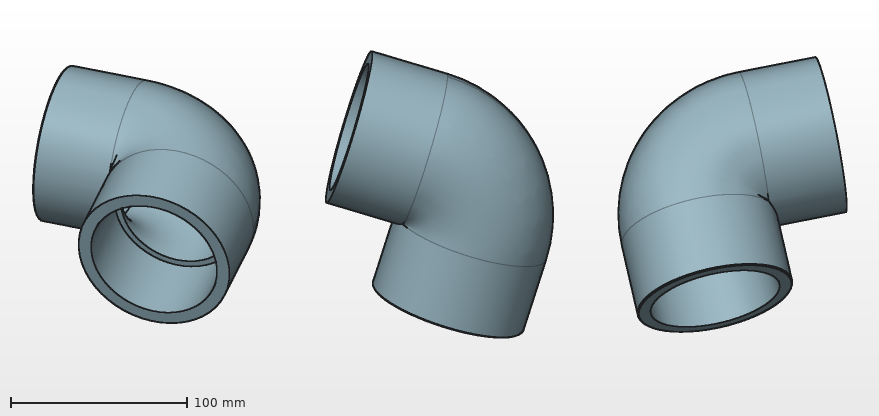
import cadquery as cq
import math

overall_length = 130.0
outer_diameter = 90.0
socket_diameter = 75.0
bore_diameter = 67.6
sleeve_length = 44.5
socket_depth = 44.5
rim_chamfer = 0.6

outer_radius = outer_diameter / 2
bore_radius = bore_diameter / 2
pipe_axis = overall_length - outer_radius
bend_radius = pipe_axis - sleeve_length


def cylinder_along_x(diameter, length):
    """Cylinder on the X leg, starting at its open end."""
    return cq.Workplane("YZ", origin=(0, pipe_axis, 0)).circle(diameter / 2).extrude(length)


def cylinder_along_y(diameter, length):
    """Cylinder on the Y leg, starting at its open end."""
    return cq.Workplane("XZ", origin=(pipe_axis, 0, 0)).circle(diameter / 2).extrude(-length)


def quarter_turn(profile):
    """Sweep a section on the XZ plane from the Y leg round to the X leg."""
    return profile.revolve(90, (0, 0, 0), (0, 1, 0))


def bend_section():
    """Workplane across the start of the bend, with its origin on the bend axis."""
    return cq.Workplane("XZ", origin=(sleeve_length, sleeve_length, 0))


def upper_outer_bend():
    """Upper half of the outer bend; the tube section is cut off where it meets the bend axis."""
    half_chord = math.sqrt(outer_radius**2 - bend_radius**2)
    section = (
        bend_section()
        .lineTo(bend_radius + outer_radius, 0)
        .threePointArc((bend_radius, outer_radius), (0, half_chord))
        .close()
    )
    return quarter_turn(section)


def inner_bend():
    return quarter_turn(bend_section().moveTo(bend_radius, 0).circle(bore_radius))


x_sleeve = cylinder_along_x(outer_diameter, sleeve_length).faces("<X").chamfer(rim_chamfer)
y_sleeve = cylinder_along_y(outer_diameter, sleeve_length)
upper_bend = upper_outer_bend()
lower_bend = upper_bend.mirror("XY")
body = x_sleeve.union(y_sleeve).union(upper_bend, clean=False).union(lower_bend, clean=False)

body = body.cut(inner_bend(), clean=False)
body = body.cut(cylinder_along_x(socket_diameter, socket_depth), clean=False)
result = body.cut(cylinder_along_y(socket_diameter, socket_depth), clean=False)